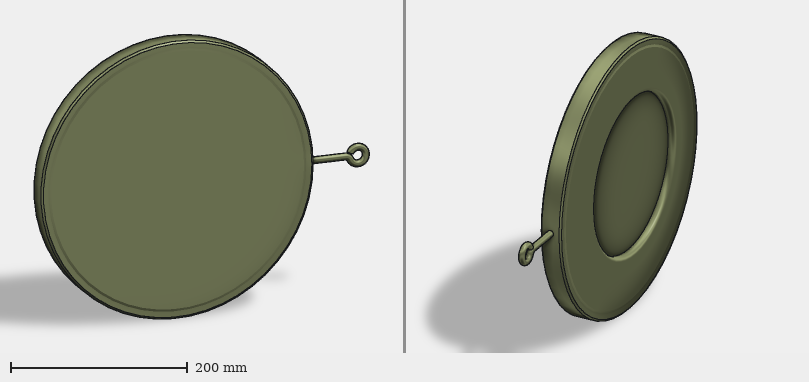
import cadquery as cq
import math

disc_diameter = 330.0
total_thickness = 27.7
rim_thickness = 26.0
rim_chamfer_axial = 2.0
rim_chamfer_radial = 2.5
face_pad_radius = 156.0
face_pad_bevel = 3.0

recess_diameter = 192.0
recess_lip_radius = 5.02
recess_depth = 9.2
recess_offset_y = -12.5

wire_diameter = 8.0
eye_outer_diameter = 27.7
total_length_y = 402.0
shank_embed = 4.0
eye_start_angle = 24.0
eye_gap_angle = 22.0

disc_radius = disc_diameter / 2
half_thickness = total_thickness / 2
half_rim = rim_thickness / 2
wire_radius = wire_diameter / 2
eye_radius = eye_outer_diameter / 2 - wire_radius
eye_center_y = total_length_y - disc_radius - eye_outer_diameter / 2


def make_disc():
    """Revolve the half section about the X axis: chamfered rim and a raised pad on each face."""
    return (
        cq.Workplane("XY")
        .moveTo(-half_thickness, 0)
        .lineTo(-half_thickness, face_pad_radius - face_pad_bevel)
        .lineTo(-half_rim, face_pad_radius)
        .lineTo(-half_rim, disc_radius - rim_chamfer_radial)
        .lineTo(-half_rim + rim_chamfer_axial, disc_radius)
        .lineTo(half_rim - rim_chamfer_axial, disc_radius)
        .lineTo(half_rim, disc_radius - rim_chamfer_radial)
        .lineTo(half_rim, face_pad_radius)
        .lineTo(half_thickness, face_pad_radius - face_pad_bevel)
        .lineTo(half_thickness, 0)
        .close()
        .revolve(360, (0, 0), (1, 0))
    )


def cut_recess(body):
    """Cut the eccentric recess and round its mouth."""
    recess = (
        cq.Workplane("YZ", origin=(-half_thickness, recess_offset_y, 0))
        .circle(recess_diameter / 2)
        .extrude(recess_depth)
    )
    recess_mouth = cq.selectors.RadiusNthSelector(0)
    return body.cut(recess).faces("<X").edges(recess_mouth).fillet(recess_lip_radius)


def eye_point(angle, radius=eye_radius):
    """Point (Y, Z) around the eye centre; angle in degrees from +Y toward +Z."""
    turn = math.radians(angle)
    return (eye_center_y + radius * math.cos(turn), radius * math.sin(turn))


def make_eye():
    """Sweep the wire along the shank, through a tangent bend and round the open eye."""
    start_angle = 180 + eye_start_angle
    end_angle = 540 - eye_gap_angle

    slope = math.sin(math.radians(eye_start_angle))
    bend_radius = eye_radius * slope / (1 - slope)
    bend_center_y, bend_center_z = eye_point(start_angle, eye_radius + bend_radius)
    half_bend = math.radians((90 - eye_start_angle) / 2)
    bend_middle = (
        bend_center_y + bend_radius * math.sin(half_bend),
        bend_center_z + bend_radius * math.cos(half_bend),
    )

    shank_start_y = disc_radius - shank_embed
    path = (
        cq.Workplane("YZ")
        .moveTo(shank_start_y, 0)
        .lineTo(bend_center_y, 0)
        .threePointArc(bend_middle, eye_point(start_angle))
        .threePointArc(eye_point((start_angle + end_angle) / 2), eye_point(end_angle))
    )
    return cq.Workplane("XZ", origin=(0, shank_start_y, 0)).circle(wire_radius).sweep(path)


result = cut_recess(make_disc()).union(make_eye())